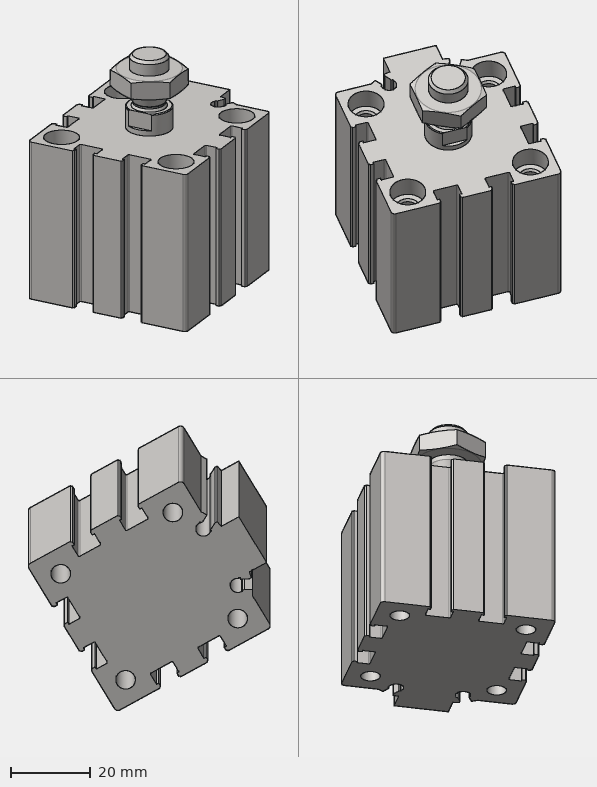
import cadquery as cq
import math

TOTAL_HEIGHT = 63.0
HOUSING_WIDTH = 45.0
HOUSING_HEIGHT = 43.0
HALF_WIDTH = HOUSING_WIDTH / 2
CORNER_RADIUS = 1.0

RAIL_PROJECTION = 7.5
RAIL_TOP = HALF_WIDTH + RAIL_PROJECTION
RAIL_HALF_WIDTH = 7.0
LIP_HALF_WIDTH = 8.55
LIP_ROOT_Y = 24.95
LIP_TIP_Y = 24.65
LIP_UNDERSIDE_Y = 23.95
RIDGE_FOOT_X = 12.85
RIDGE_TIP = (11.4, 23.3)

GROOVE_CENTER = (8.6, 20.65)
GROOVE_RADIUS = 1.9
GROOVE_START_ANGLE = 0.0
GROOVE_MIDDLE_ANGLE = -90.0
GROOVE_END_ANGLE = 146.0
OUTER_WALL_FOOT = (10.4, 21.55)
OUTER_STEP = [(10.4, 20.9), (10.65, 20.9)]
INNER_STEP = [(7.1, 22.2), (7.6, 22.05), (7.7, 22.35)]

SLOT_OFFSET = 6.85
SLOT_MOUTH = 5.2
SLOT_WIDTH = 6.5
SLOT_DEPTH = 4.6
SLOT_LIP = 1.3
LIP_ROUND = 0.4
SLOT_CORNER_RADIUS = 0.3

HOLE_OFFSET = 16.25
HOLE_DIAMETER = 4.9
COUNTERBORE_DIAMETER = 9.0
COUNTERBORE_DEPTH = 5.5
COUNTERSINK_DIAMETER = 6.0

ROD_DIAMETER = 12.0
SHOULDER_Z = 48.95
SHOULDER_CHAMFER = 0.25
FLATS_WIDTH = 10.0
FLATS_BOTTOM_Z = 44.5
FLARE_DIAMETER = 9.15
NECK_DIAMETER = 8.2
NECK_BOTTOM_Z = 49.65
NECK_TOP_Z = 50.1
TAPER_DIAMETER = 8.6
TAPER_BOTTOM_Z = 50.35
THREAD_DIAMETER = 10.0
THREAD_BOTTOM_Z = 52.65
TIP_DIAMETER = 8.55
TIP_CHAMFER_HEIGHT = 0.8

NUT_BOTTOM_Z = 54.0
NUT_THICKNESS = 5.05
NUT_ACROSS_FLATS = 17.0
NUT_FACE_DIAMETER = 16.65
NUT_CHAMFER_ANGLE = 14.0


def groove_point(angle):
    """Point on the round bottom of the keyhole groove."""
    return (
        GROOVE_CENTER[0] + GROOVE_RADIUS * math.cos(math.radians(angle)),
        GROOVE_CENTER[1] + GROOVE_RADIUS * math.sin(math.radians(angle)),
    )


def make_profile_block():
    """Extruded housing block with the rail and its two keyhole grooves."""
    outline = cq.Workplane("XY").moveTo(0, -HALF_WIDTH).lineTo(HALF_WIDTH, -HALF_WIDTH)
    outline = outline.lineTo(HALF_WIDTH, HALF_WIDTH).lineTo(RIDGE_FOOT_X, HALF_WIDTH)
    outline = outline.lineTo(*RIDGE_TIP).lineTo(*OUTER_WALL_FOOT)
    for point in OUTER_STEP:
        outline = outline.lineTo(*point)
    outline = outline.lineTo(*groove_point(GROOVE_START_ANGLE))
    outline = outline.threePointArc(groove_point(GROOVE_MIDDLE_ANGLE), groove_point(GROOVE_END_ANGLE))
    for point in INNER_STEP:
        outline = outline.lineTo(*point)
    outline = outline.lineTo(LIP_HALF_WIDTH, LIP_UNDERSIDE_Y).lineTo(LIP_HALF_WIDTH, LIP_TIP_Y)
    outline = outline.lineTo(RAIL_HALF_WIDTH, LIP_ROOT_Y).lineTo(RAIL_HALF_WIDTH, RAIL_TOP)
    outline = outline.lineTo(0, RAIL_TOP)
    block = outline.mirrorY().extrude(HOUSING_HEIGHT)
    corners = block.edges("|Z and (>X or <X)")
    return corners.fillet(CORNER_RADIUS)


def make_t_slot(offset):
    """Cutter for one T-slot in the -Y side, at the given place along X."""
    lip_y = -HALF_WIDTH + SLOT_LIP
    floor_y = -HALF_WIDTH + SLOT_DEPTH
    half_mouth = SLOT_MOUTH / 2
    half_width = SLOT_WIDTH / 2
    chamber = (
        cq.Workplane("XY")
        .moveTo(offset - half_width, lip_y)
        .lineTo(offset + half_width, lip_y)
        .lineTo(offset + half_width, floor_y)
        .lineTo(offset - half_width, floor_y)
        .close()
        .extrude(HOUSING_HEIGHT)
        .edges("|Z and >Y")
        .fillet(SLOT_CORNER_RADIUS)
    )
    mouth = (
        cq.Workplane("XY")
        .moveTo(offset - half_mouth - LIP_ROUND, -HALF_WIDTH)
        .lineTo(offset + half_mouth + LIP_ROUND, -HALF_WIDTH)
        .radiusArc((offset + half_mouth, -HALF_WIDTH + LIP_ROUND), -LIP_ROUND)
        .lineTo(offset + half_mouth, lip_y)
        .lineTo(offset - half_mouth, lip_y)
        .lineTo(offset - half_mouth, -HALF_WIDTH + LIP_ROUND)
        .radiusArc((offset - half_mouth - LIP_ROUND, -HALF_WIDTH), -LIP_ROUND)
        .close()
        .extrude(HOUSING_HEIGHT)
    )
    return chamber.union(mouth)


def make_mounting_hole(x, y):
    """Cutter for one through hole with a counterbore and a countersunk counterbore floor."""
    floor_z = HOUSING_HEIGHT - COUNTERBORE_DEPTH
    hole_radius = HOLE_DIAMETER / 2
    countersink_radius = COUNTERSINK_DIAMETER / 2
    countersink_depth = countersink_radius - hole_radius
    section = [
        (0, 0),
        (hole_radius, 0),
        (hole_radius, floor_z - countersink_depth),
        (countersink_radius, floor_z),
        (COUNTERBORE_DIAMETER / 2, floor_z),
        (COUNTERBORE_DIAMETER / 2, HOUSING_HEIGHT),
        (0, HOUSING_HEIGHT),
    ]
    cutter = cq.Workplane("XZ").polyline(section).close().revolve(360, (0, 0, 0), (0, 1, 0))
    return cutter.translate((x, y, 0))


def make_housing():
    body = make_profile_block()
    for side_angle in (-90, 0, 90):
        for offset in (-SLOT_OFFSET, SLOT_OFFSET):
            slot = make_t_slot(offset).rotate((0, 0, 0), (0, 0, 1), side_angle)
            body = body.cut(slot)
    for x in (-HOLE_OFFSET, HOLE_OFFSET):
        for y in (-HOLE_OFFSET, HOLE_OFFSET):
            body = body.cut(make_mounting_hole(x, y))
    return body


def make_rod():
    """Turned rod end standing on the housing, with two wrench flats facing -Y and +Y."""
    rod_radius = ROD_DIAMETER / 2
    section = [
        (0, HOUSING_HEIGHT),
        (rod_radius, HOUSING_HEIGHT),
        (rod_radius, SHOULDER_Z - SHOULDER_CHAMFER),
        (rod_radius - SHOULDER_CHAMFER, SHOULDER_Z),
        (FLARE_DIAMETER / 2, SHOULDER_Z),
        (NECK_DIAMETER / 2, NECK_BOTTOM_Z),
        (NECK_DIAMETER / 2, NECK_TOP_Z),
        (TAPER_DIAMETER / 2, TAPER_BOTTOM_Z),
        (THREAD_DIAMETER / 2, THREAD_BOTTOM_Z),
        (THREAD_DIAMETER / 2, TOTAL_HEIGHT - TIP_CHAMFER_HEIGHT),
        (TIP_DIAMETER / 2, TOTAL_HEIGHT),
        (0, TOTAL_HEIGHT),
    ]
    rod = cq.Workplane("XZ").polyline(section).close().revolve(360, (0, 0, 0), (0, 1, 0))
    flats_height = SHOULDER_Z - FLATS_BOTTOM_Z
    flats_ring = (
        cq.Workplane("XY", origin=(0, 0, FLATS_BOTTOM_Z))
        .rect(ROD_DIAMETER, 2 * ROD_DIAMETER)
        .rect(ROD_DIAMETER, FLATS_WIDTH)
        .extrude(flats_height)
    )
    return rod.cut(flats_ring)


def make_nut():
    """Hexagon nut with two flats facing -X and +X, corners chamfered at both ends."""
    corner_radius = NUT_ACROSS_FLATS / math.sqrt(3)
    face_radius = NUT_FACE_DIAMETER / 2
    chamfer_height = (corner_radius - face_radius) * math.tan(math.radians(NUT_CHAMFER_ANGLE))
    top_z = NUT_BOTTOM_Z + NUT_THICKNESS
    hexagon = (
        cq.Workplane("XY", origin=(0, 0, NUT_BOTTOM_Z))
        .polygon(6, 2 * corner_radius)
        .extrude(NUT_THICKNESS)
        .rotate((0, 0, 0), (0, 0, 1), 90)
    )
    turned_section = [
        (THREAD_DIAMETER / 2, NUT_BOTTOM_Z),
        (face_radius, NUT_BOTTOM_Z),
        (corner_radius, NUT_BOTTOM_Z + chamfer_height),
        (corner_radius, top_z - chamfer_height),
        (face_radius, top_z),
        (THREAD_DIAMETER / 2, top_z),
    ]
    turned_blank = cq.Workplane("XZ").polyline(turned_section).close().revolve(360, (0, 0, 0), (0, 1, 0))
    return hexagon.intersect(turned_blank)


housing = make_housing()
rod = make_rod()
nut = make_nut()

result = cq.Compound.makeCompound([housing.val(), rod.val(), nut.val()])